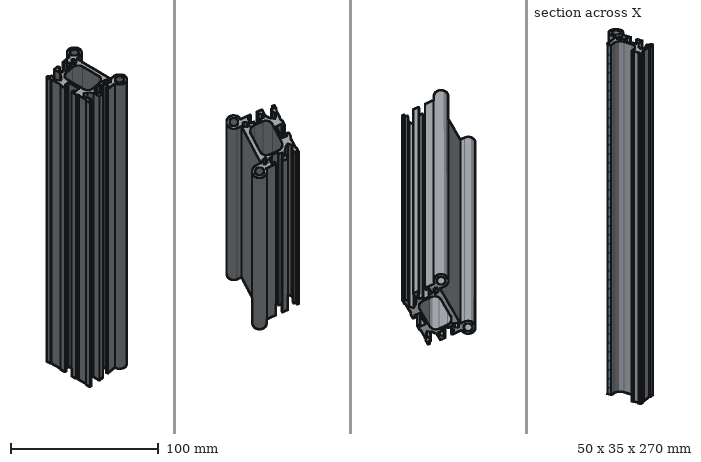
import cadquery as cq

length = 270.0
outer_width = 50.0
outer_depth = 35.0

tube_x = 20.0
tube_radius = outer_width / 2 - tube_x
tube_hole_radius = 3.0
tube_y = outer_depth - tube_radius

half_width = tube_x
roof_top = 26.7
beam_bottom = 9.0

cavity_half_width = 12.0
cavity_bottom = 7.3
cavity_top = 23.5
cavity_corner_radius = 4.9

slot_mouth_bottom = 13.0
slot_mouth_top = 17.8
slot_bottom = 10.5
slot_top = 20.2
slot_lip = 1.5
slot_lip_bevel = 1.5
slot_back = 14.3
slot_floor_wall = 0.95
slot_floor = cavity_half_width + slot_floor_wall

flank_start_x = 14.8
flank_bend = (11.5, 6.5)
flank_end = (10.0, 4.0)
flank_foot_x = 12.2

foot_half_span = 19.2
foot_edge_height = 1.5
foot_top = 2.2
foot_bead_outer = 17.5
foot_bead_inner = 15.7
foot_bead_top = 3.2
foot_bead_base = 13.5

relief_inner = 6.8
relief_outer = 15.7
relief_depth = 0.5

groove_x = 8.6
groove_half_width = 0.4
groove_depth = 0.4

channel_half_width = 4.5
channel_top = 5.7
channel_mouth_half_width = 3.0
channel_lip = 2.0

pocket_points = [(13.8, 25.0), (12.5, 22.0), (16.0, 22.1), (17.0, 24.0), (16.5, 25.0)]


def half_outline():
    """Half of the section on the +X side, before the tube and the hollows."""
    return (
        cq.Workplane("XY")
        .moveTo(0, roof_top)
        .lineTo(tube_x - tube_radius, roof_top)
        .lineTo(tube_x - tube_radius, tube_y)
        .lineTo(tube_x, tube_y)
        .lineTo(half_width, slot_mouth_top)
        .lineTo(half_width - slot_lip, slot_mouth_top)
        .lineTo(half_width - slot_lip, slot_top)
        .lineTo(slot_back, slot_top)
        .lineTo(slot_back, slot_mouth_top)
        .lineTo(slot_floor, slot_mouth_top)
        .lineTo(slot_floor, slot_mouth_bottom)
        .lineTo(slot_back, slot_mouth_bottom)
        .lineTo(slot_back, slot_bottom)
        .lineTo(half_width - slot_lip - slot_lip_bevel, slot_bottom)
        .lineTo(half_width - slot_lip, slot_bottom + slot_lip_bevel)
        .lineTo(half_width - slot_lip, slot_mouth_bottom)
        .lineTo(half_width, slot_mouth_bottom)
        .lineTo(half_width, beam_bottom)
        .lineTo(flank_start_x, beam_bottom)
        .lineTo(*flank_bend)
        .lineTo(*flank_end)
        .lineTo(flank_foot_x, foot_top)
        .lineTo(foot_bead_base, foot_top)
        .lineTo(foot_bead_inner, foot_bead_top)
        .lineTo(foot_bead_outer, foot_bead_top)
        .lineTo(foot_bead_outer, foot_edge_height)
        .lineTo(foot_half_span, foot_edge_height)
        .lineTo(foot_half_span, 0)
        .lineTo(relief_outer, 0)
        .lineTo(relief_outer - relief_depth, relief_depth)
        .lineTo(relief_inner + relief_depth, relief_depth)
        .lineTo(relief_inner, 0)
        .lineTo(channel_mouth_half_width, 0)
        .lineTo(channel_mouth_half_width, channel_lip)
        .lineTo(channel_half_width, channel_lip)
        .lineTo(channel_half_width, channel_top)
        .lineTo(0, channel_top)
        .close()
        .extrude(length)
    )


def tube_cylinder(radius):
    """Full-length cylinder on the axis of the +X corner tube."""
    return cq.Workplane("XY").center(tube_x, tube_y).circle(radius).extrude(length)


def corner_pocket():
    return cq.Workplane("XY").polyline(pocket_points).close().extrude(length)


def cavity():
    height = cavity_top - cavity_bottom
    return (
        cq.Workplane("XY")
        .center(0, cavity_bottom + height / 2)
        .rect(2 * cavity_half_width, height)
        .extrude(length)
        .edges("|Z")
        .fillet(cavity_corner_radius)
    )


def marking_groove():
    return (
        cq.Workplane("XY")
        .moveTo(groove_x - groove_half_width, relief_depth)
        .lineTo(groove_x, relief_depth + groove_depth)
        .lineTo(groove_x + groove_half_width, relief_depth)
        .close()
        .extrude(length)
    )


half = half_outline().union(tube_cylinder(tube_radius))
half = half.cut(tube_cylinder(tube_hole_radius)).cut(corner_pocket())
result = half.union(half.mirror("YZ")).cut(cavity()).cut(marking_groove()).clean()